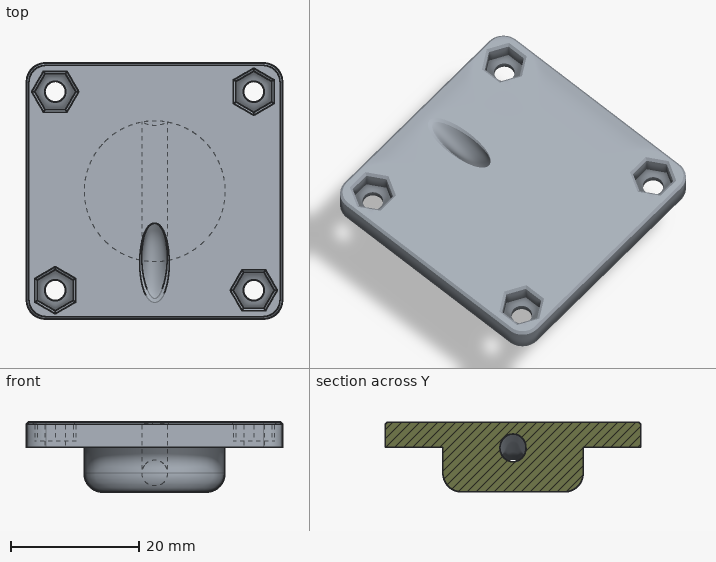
import cadquery as cq
import math

plate_side = 40.0
plate_thickness = 4.0
corner_radius = 3.0
edge_chamfer = 0.4

boss_diameter = 22.0
boss_height = 7.0
boss_fillet = 3.0

hole_spacing = 31.0
hole_diameter = 3.2
nut_width = 5.55
nut_depth = 3.0
nut_chamfer = 0.4

channel_diameter = 4.0
channel_slope = 20.0
channel_entry_y = -11.2
channel_chamfer = 0.3


def make_plate():
    """Rounded square plate with its top face at Z = 0."""
    plate = cq.Workplane("XY").box(
        plate_side, plate_side, plate_thickness, centered=(True, True, False)
    )
    plate = plate.translate((0, 0, -plate_thickness))
    return plate.edges("|Z").fillet(corner_radius).faces(">Z").edges().chamfer(edge_chamfer)


def make_boss():
    """Cylinder below the plate with a rounded lower rim."""
    boss = cq.Workplane("XY").workplane(offset=-plate_thickness)
    boss = boss.circle(boss_diameter / 2).extrude(-boss_height)
    return boss.faces("<Z").edges().fillet(boss_fillet)


def make_screw_cut(x, y, rotation):
    """Through hole and chamfered nut pocket, turned about the hole axis."""
    corner_diameter = nut_width / math.cos(math.pi / 6)
    mouth_diameter = (nut_width + 2 * nut_chamfer) / math.cos(math.pi / 6)
    hole = cq.Workplane("XY").circle(hole_diameter / 2).extrude(-plate_thickness)
    pocket = cq.Workplane("XY").polygon(6, corner_diameter).extrude(-nut_depth)
    mouth = (
        cq.Workplane("XY")
        .polygon(6, mouth_diameter)
        .workplane(offset=-nut_chamfer)
        .polygon(6, corner_diameter)
        .loft(ruled=True)
    )
    cut = hole.union(pocket).union(mouth)
    return cut.rotate((0, 0, 0), (0, 0, 1), rotation).translate((x, y, 0))


def make_channel():
    """Tilted cylinder whose axis meets the top face above the -Y side of the boss."""
    slope = math.radians(channel_slope)
    direction = cq.Vector(0, math.cos(slope), -math.sin(slope))
    entry = cq.Vector(0, channel_entry_y, 0)
    reach = boss_diameter
    start = entry - direction * reach
    channel = cq.Solid.makeCylinder(channel_diameter / 2, 3 * reach, start, direction)
    return cq.Workplane(obj=channel)


result = make_plate().union(make_boss()).cut(make_channel())

channel_mouth = cq.selectors.BoxSelector(
    (-channel_diameter, channel_entry_y - channel_diameter, -edge_chamfer / 2),
    (channel_diameter, channel_entry_y + channel_diameter, edge_chamfer / 2),
)
result = result.edges(channel_mouth).chamfer(channel_chamfer)

for x_side in (-1, 1):
    for y_side in (-1, 1):
        pocket_rotation = 90 if x_side == y_side else 0
        hole_x = x_side * hole_spacing / 2
        hole_y = y_side * hole_spacing / 2
        result = result.cut(make_screw_cut(hole_x, hole_y, pocket_rotation))